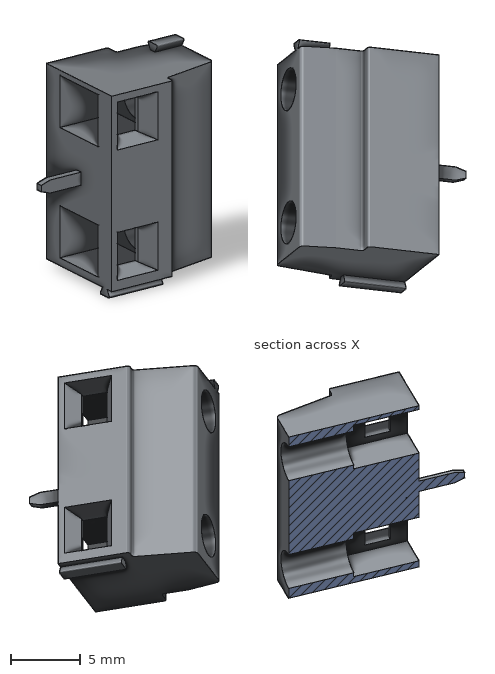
import cadquery as cq
import math


WIDTH = 8.1
DEPTH = 10.0
HEIGHT = 15.0
SHOULDER_Y = 5.4
LEFT_STEP = 1.1
RIGHT_STEP = 0.73
LEFT_SLOPE_Y = 7.45
WALL_LEAN = math.radians(10)
BACK_FILLET = 0.35
SHOULDER_FILLET = 0.2

POLE_PITCH = 10.0
POLE_HEIGHTS = (-POLE_PITCH / 2, POLE_PITCH / 2)
SCREW_HOLE_DIAMETER = 3.1
POCKET_WIDTH = 4.75
POCKET_HEIGHT = 4.0
POCKET_DEPTH = 5.0
POCKET_RISE = 0.1

WINDOW_FRONT_Y = 1.3
WINDOW_BACK_Y = 3.25
WINDOW_MARGIN = 0.56
THROAT_LENGTH = 0.33
FUNNEL_FLARE_Y = 0.8
FUNNEL_FLARE_Z = 0.4

PIN_WIDTH = 0.55
PIN_HEIGHT = 1.0
PIN_LENGTH = 3.5
PIN_TIP_HEIGHT = 0.5
PIN_TIP_LENGTH = 0.8

RIB_HEIGHT = 0.6
RIB_NECK = 0.57
RIB_FLANK_ANGLE = math.radians(30)
RIB_FILLET = 0.1
TOP_RIB_X = -1.65
TOP_RIB_LENGTH = 2.35
BOTTOM_RIB_X = 3.2
BOTTOM_RIB_LENGTH = 4.7


def make_housing():
    """Stepped block whose rear part has leaning side walls."""
    half_width = WIDTH / 2
    left_wall = -half_width + LEFT_STEP
    right_wall = half_width - RIGHT_STEP
    left_back = left_wall + (DEPTH - LEFT_SLOPE_Y) * math.tan(WALL_LEAN)
    right_back = right_wall - (DEPTH - SHOULDER_Y) * math.tan(WALL_LEAN)
    outline = [
        (-half_width, 0),
        (half_width, 0),
        (half_width, SHOULDER_Y),
        (right_wall, SHOULDER_Y),
        (right_back, DEPTH),
        (left_back, DEPTH),
        (left_wall, LEFT_SLOPE_Y),
        (left_wall, SHOULDER_Y),
        (-half_width, SHOULDER_Y),
    ]
    block = cq.Workplane("XY").polyline(outline).close().extrude(HEIGHT / 2, both=True)

    def upright_edges_at(y):
        slack = 0.01
        region = cq.selectors.BoxSelector(
            (-WIDTH, y - slack, -HEIGHT), (WIDTH, y + slack, HEIGHT)
        )
        return block.edges("|Z").edges(region)

    block = upright_edges_at(DEPTH).fillet(BACK_FILLET)
    return upright_edges_at(SHOULDER_Y).fillet(SHOULDER_FILLET)


def make_wire_window(pocket_z):
    """Cutter for the wire entry, from the pocket side wall out through the +X face."""
    pocket_wall = POCKET_WIDTH / 2
    wall_thickness = WIDTH / 2 - pocket_wall
    window_y = (WINDOW_FRONT_Y + WINDOW_BACK_Y) / 2
    window_depth = WINDOW_BACK_Y - WINDOW_FRONT_Y
    window_height = POCKET_HEIGHT - 2 * WINDOW_MARGIN
    throat_end = pocket_wall + THROAT_LENGTH

    throat = (
        cq.Workplane("YZ", origin=(0, window_y, pocket_z))
        .rect(window_depth, window_height)
        .extrude(throat_end)
    )
    funnel = (
        cq.Workplane("YZ", origin=(throat_end, window_y, pocket_z))
        .rect(window_depth, window_height)
        .workplane(offset=wall_thickness - THROAT_LENGTH)
        .rect(window_depth + 2 * FUNNEL_FLARE_Y, window_height + 2 * FUNNEL_FLARE_Z)
        .loft(ruled=True)
    )
    return throat.union(funnel)


def make_pole_cavity(pole_z):
    """Cutter for one pole: front pocket, screw hole to the back and wire window."""
    pocket_z = pole_z + POCKET_RISE
    pocket = cq.Workplane("XY").box(
        POCKET_WIDTH, POCKET_DEPTH, POCKET_HEIGHT, centered=(True, False, True)
    ).translate((0, 0, pocket_z))
    screw_hole = (
        cq.Workplane("XZ", origin=(0, 0, pole_z))
        .circle(SCREW_HOLE_DIAMETER / 2)
        .extrude(-DEPTH)
    )
    return pocket.union(screw_hole).union(make_wire_window(pocket_z))


def make_pin():
    """Flat pin on the front face with a tip tapered in height."""
    taper_y = -(PIN_LENGTH - PIN_TIP_LENGTH)
    outline = [
        (0, -PIN_HEIGHT / 2),
        (taper_y, -PIN_HEIGHT / 2),
        (-PIN_LENGTH, -PIN_TIP_HEIGHT / 2),
        (-PIN_LENGTH, PIN_TIP_HEIGHT / 2),
        (taper_y, PIN_HEIGHT / 2),
        (0, PIN_HEIGHT / 2),
    ]
    return cq.Workplane("YZ").polyline(outline).close().extrude(PIN_WIDTH / 2, both=True)


def make_rib(center_x, start_y, length, side):
    """Dovetail rib along Y on the top (side = 1) or bottom (side = -1) face."""
    half_neck = RIB_NECK / 2
    half_crest = half_neck + RIB_HEIGHT * math.tan(RIB_FLANK_ANGLE)
    base_z = side * HEIGHT / 2
    crest_z = base_z + side * RIB_HEIGHT
    outline = [
        (center_x - half_neck, base_z),
        (center_x + half_neck, base_z),
        (center_x + half_crest, crest_z),
        (center_x - half_crest, crest_z),
    ]
    rib = (
        cq.Workplane("XZ", origin=(0, start_y, 0))
        .polyline(outline)
        .close()
        .extrude(-length)
    )
    crest = ">Z" if side > 0 else "<Z"
    return rib.faces(crest).edges("|Y").fillet(RIB_FILLET)


result = make_housing()
for pole_height in POLE_HEIGHTS:
    result = result.cut(make_pole_cavity(pole_height))
result = result.union(make_pin())
result = result.union(make_rib(TOP_RIB_X, DEPTH - TOP_RIB_LENGTH, TOP_RIB_LENGTH, 1))
result = result.union(make_rib(BOTTOM_RIB_X, 0, BOTTOM_RIB_LENGTH, -1))